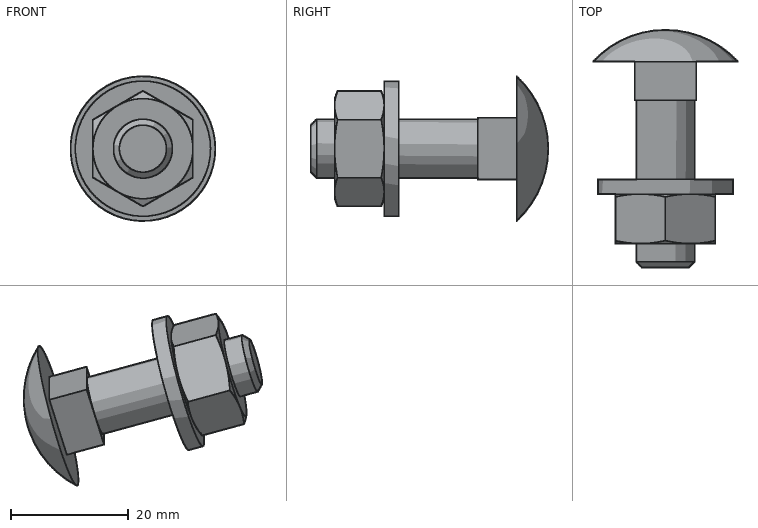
import cadquery as cq
import math

total_length = 40.4
head_diameter = 24.65
head_height = 5.4
neck_width = 10.5
neck_length = 6.6
shank_diameter = 10.0
tip_chamfer = 1.0
shank_length = total_length - head_height

washer_diameter = 22.98
washer_thickness = 2.5
washer_start = 20.0
nut_across_flats = 17.0
nut_thickness = 8.4
nut_chamfer_drop = 0.5
nut_start = washer_start + washer_thickness
nut_sides = 6
half_side_angle = 180 / nut_sides
nut_across_corners = nut_across_flats / math.cos(math.radians(half_side_angle))


def plane_at(distance):
    """Plane across the bolt axis, facing -Y, at a distance below the head."""
    return cq.Workplane(cq.Plane(origin=(0, -distance, 0), xDir=(1, 0, 0), normal=(0, -1, 0)))


def make_bolt():
    """Carriage bolt: domed head, square neck and round shank with a conical tip."""
    head_radius = head_diameter / 2
    dome_radius = (head_radius**2 + head_height**2) / (2 * head_height)
    half_angle = math.asin(head_radius / dome_radius) / 2
    arc_middle = (
        dome_radius * math.sin(half_angle),
        head_height - dome_radius * (1 - math.cos(half_angle)),
    )
    head = (
        cq.Workplane("XY")
        .lineTo(head_radius, 0)
        .threePointArc(arc_middle, (0, head_height))
        .close()
        .revolve(360, (0, 0), (0, 1))
    )
    neck = plane_at(0).rect(neck_width, neck_width).extrude(neck_length)
    shank = (
        plane_at(0)
        .circle(shank_diameter / 2)
        .extrude(shank_length)
        .faces("<Y")
        .edges()
        .chamfer(tip_chamfer)
    )
    return head.union(neck).union(shank)


def make_washer():
    """Flat washer fitting the shank."""
    return (
        plane_at(washer_start)
        .circle(washer_diameter / 2)
        .circle(shank_diameter / 2)
        .extrude(washer_thickness)
    )


def make_nut():
    """Hexagon nut with flats facing +X and -X, its corners chamfered at both ends."""
    face_radius = nut_across_flats / 2
    corner_radius = nut_across_corners / 2
    nut_end = nut_start + nut_thickness
    hexagon = (
        plane_at(nut_start)
        .transformed(rotate=(0, 0, half_side_angle))
        .polygon(nut_sides, nut_across_corners)
        .extrude(nut_thickness)
    )
    envelope = (
        cq.Workplane("XY")
        .moveTo(0, -nut_start)
        .lineTo(face_radius, -nut_start)
        .lineTo(corner_radius, -nut_start - nut_chamfer_drop)
        .lineTo(corner_radius, -nut_end + nut_chamfer_drop)
        .lineTo(face_radius, -nut_end)
        .lineTo(0, -nut_end)
        .close()
        .revolve(360, (0, 0), (0, 1))
    )
    bore = plane_at(nut_start).circle(shank_diameter / 2).extrude(nut_thickness)
    return hexagon.intersect(envelope).cut(bore)


bolt = make_bolt()
washer = make_washer()
nut = make_nut()

result = cq.Compound.makeCompound([bolt.val(), washer.val(), nut.val()])